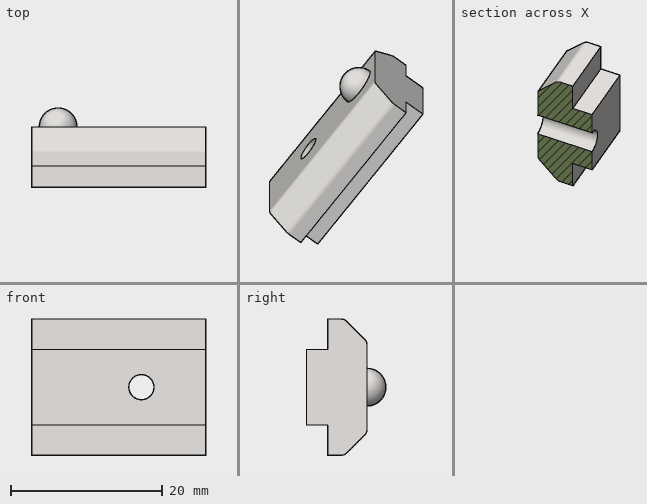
import cadquery as cq

length = 23.0
height = 18.0
body_depth = 8.0

tongue_height = 10.0
tongue_depth = 2.8
flange_depth = body_depth - tongue_depth

bevel = 3.0
bevel_radius = 1.0

hole_diameter = 3.3
hole_x = 14.5
ball_radius = 2.5
ball_x = 3.5


def make_flange():
    """Wide plate with rounded bevels along its two long rear edges."""
    plate = cq.Workplane("XY").box(length, flange_depth, height)
    beveled = plate.edges("|X and >Y").chamfer(bevel)
    rounded = beveled.edges("|X").edges("not <Y").fillet(bevel_radius)
    return rounded.translate((length / 2, tongue_depth + flange_depth / 2, 0))


def make_tongue():
    """Narrow rail on the front of the flange."""
    tongue = cq.Workplane("XY").box(length, tongue_depth, tongue_height)
    return tongue.translate((length / 2, tongue_depth / 2, 0))


def make_ball():
    """Detent ball centered on the rear face, so that half of it stands out."""
    return cq.Workplane("XY").sphere(ball_radius).translate((ball_x, body_depth, 0))


def make_hole():
    """Cylinder that passes through the body from front to rear."""
    hole = cq.Workplane("XZ").center(hole_x, 0).circle(hole_diameter / 2)
    return hole.extrude(-body_depth)


result = make_flange().union(make_tongue()).union(make_ball()).cut(make_hole())